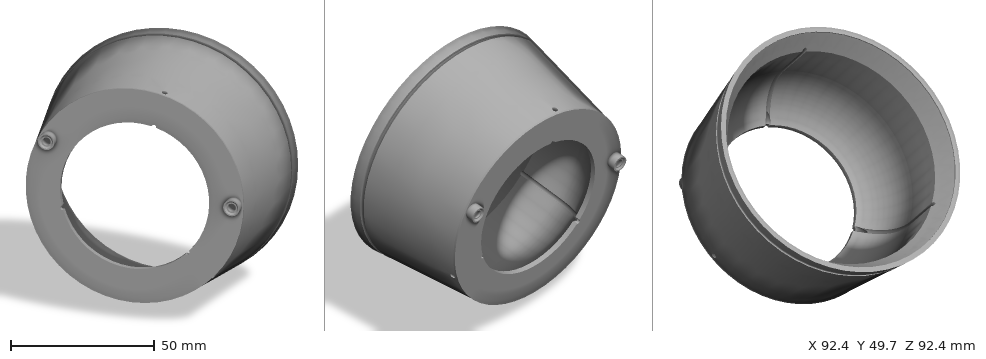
import cadquery as cq
import math

OVERALL_LENGTH = 49.7
FOOT_HEIGHT = 3.2
BODY_LENGTH = OVERALL_LENGTH - FOOT_HEIGHT

REAR_RADIUS = 46.2
FRONT_RADIUS = 39.5
FRONT_BAND = 0.8

RIM_WIDTH = 4.25
RING_WIDTH = 1.6
RING_WALL_RADIUS = 44.6
RING_FLOOR_RADIUS = 44.15

LIP_RADIUS = 27.1
LIP_THICKNESS = 2.0
CAVITY_RADIUS = 40.1
BOWL_END = 20.3
FLARE_START = 38.8
MOUTH_RADIUS = 44.3
MOUTH_BAND = 0.5

CHANNEL_ANGLES = (75, 195, 315)
CHANNEL_RADIUS = 0.8
CHANNEL_OVERRUN = 1.85
SIDE_HOLE_RADIUS = 1.0
SIDE_HOLE_Y = 2.4

FOOT_ANGLES = (0, 150)
FOOT_CIRCLE_RADIUS = 36.0
FOOT_RADIUS = 3.0
FOOT_RECESS_MOUTH_RADIUS = 2.5
FOOT_RECESS_FLOOR_RADIUS = 1.9
FOOT_RECESS_DEPTH = 0.6
FOOT_HOLE_RADIUS = 1.5

AXIS_START = (0, 0, 0)
AXIS_END = (0, 1, 0)
FRONT_TO_REAR = cq.Vector(0, 1, 0)


def outer_radius(y):
    """Radius of the tapered outer wall at distance y behind the front face."""
    taper = (REAR_RADIUS - FRONT_RADIUS) / (BODY_LENGTH - FRONT_BAND)
    return FRONT_RADIUS + taper * (y - FRONT_BAND)


def bowl_radius(y):
    """Radius of the bowl arc, which runs from the lip corner tangent into the straight wall."""
    height = BOWL_END - LIP_THICKNESS
    step = CAVITY_RADIUS - LIP_RADIUS
    arc_radius = (height ** 2 + step ** 2) / (2 * step)
    arc_center = CAVITY_RADIUS - arc_radius
    return arc_center + math.sqrt(arc_radius ** 2 - (BOWL_END - y) ** 2)


BOWL_MIDDLE_Y = (LIP_THICKNESS + BOWL_END) / 2
BOWL_MIDDLE = (bowl_radius(BOWL_MIDDLE_Y), BOWL_MIDDLE_Y)
LIP_CORNER = (LIP_RADIUS, LIP_THICKNESS)
BOWL_CORNER = (CAVITY_RADIUS, BOWL_END)


def turned_body():
    """Wall section, drawn as (radius, y) and turned about the Y axis."""
    ring_rear = BODY_LENGTH - RIM_WIDTH
    ring_front = ring_rear - RING_WIDTH
    chamfer = RING_WALL_RADIUS - RING_FLOOR_RADIUS
    section = (
        cq.Workplane("XY")
        .moveTo(LIP_RADIUS, 0)
        .lineTo(FRONT_RADIUS, 0)
        .lineTo(FRONT_RADIUS, FRONT_BAND)
        .lineTo(outer_radius(ring_front), ring_front)
        .lineTo(RING_WALL_RADIUS, ring_front)
        .lineTo(RING_FLOOR_RADIUS, ring_front + chamfer)
        .lineTo(RING_FLOOR_RADIUS, ring_rear - chamfer)
        .lineTo(RING_WALL_RADIUS, ring_rear)
        .lineTo(outer_radius(ring_rear), ring_rear)
        .lineTo(REAR_RADIUS, BODY_LENGTH)
        .lineTo(MOUTH_RADIUS, BODY_LENGTH)
        .lineTo(MOUTH_RADIUS, BODY_LENGTH - MOUTH_BAND)
        .lineTo(CAVITY_RADIUS, FLARE_START)
        .lineTo(*BOWL_CORNER)
        .threePointArc(BOWL_MIDDLE, LIP_CORNER)
        .close()
    )
    return section.revolve(360, AXIS_START, AXIS_END)


def channel_cutter():
    """Round channel that follows the lip, the bowl and the straight wall along +X."""
    lip_run = cq.Workplane(cq.Solid.makeCylinder(
        CHANNEL_RADIUS, LIP_THICKNESS, cq.Vector(LIP_RADIUS, 0, 0), FRONT_TO_REAR))
    corner = cq.Workplane("XY").sphere(CHANNEL_RADIUS).translate((*LIP_CORNER, 0))
    path = (
        cq.Workplane("XY")
        .moveTo(CAVITY_RADIUS, FLARE_START + CHANNEL_OVERRUN)
        .lineTo(*BOWL_CORNER)
        .threePointArc(BOWL_MIDDLE, LIP_CORNER)
    )
    wall_run = (
        cq.Workplane("XZ", origin=(CAVITY_RADIUS, FLARE_START + CHANNEL_OVERRUN, 0))
        .circle(CHANNEL_RADIUS)
        .sweep(path)
    )
    return wall_run.union(corner).union(lip_run)


def side_hole_cutter():
    """Radial hole along +X from the lip bore out through the tapered wall."""
    return cq.Workplane(cq.Solid.makeCylinder(
        SIDE_HOLE_RADIUS, REAR_RADIUS - LIP_RADIUS,
        cq.Vector(LIP_RADIUS, SIDE_HOLE_Y, 0), cq.Vector(1, 0, 0)))


def foot():
    """Hollow foot on +X: a stepped, countersunk blind hole down to the front face."""
    section = (
        cq.Workplane("XY")
        .polyline([
            (FOOT_HOLE_RADIUS, 0),
            (FOOT_RADIUS, 0),
            (FOOT_RADIUS, -FOOT_HEIGHT),
            (FOOT_RECESS_MOUTH_RADIUS, -FOOT_HEIGHT),
            (FOOT_RECESS_FLOOR_RADIUS, FOOT_RECESS_DEPTH - FOOT_HEIGHT),
            (FOOT_HOLE_RADIUS, FOOT_RECESS_DEPTH - FOOT_HEIGHT),
        ])
        .close()
    )
    return section.revolve(360, AXIS_START, AXIS_END).translate((FOOT_CIRCLE_RADIUS, 0, 0))


def turned_to(shape, angle):
    """Turn a shape from +X towards +Z about the Y axis."""
    return shape.rotate(AXIS_START, AXIS_END, -angle)


result = turned_body()
for angle in CHANNEL_ANGLES:
    result = result.cut(turned_to(channel_cutter(), angle))
    result = result.cut(turned_to(side_hole_cutter(), angle))
for angle in FOOT_ANGLES:
    result = result.union(turned_to(foot(), angle))